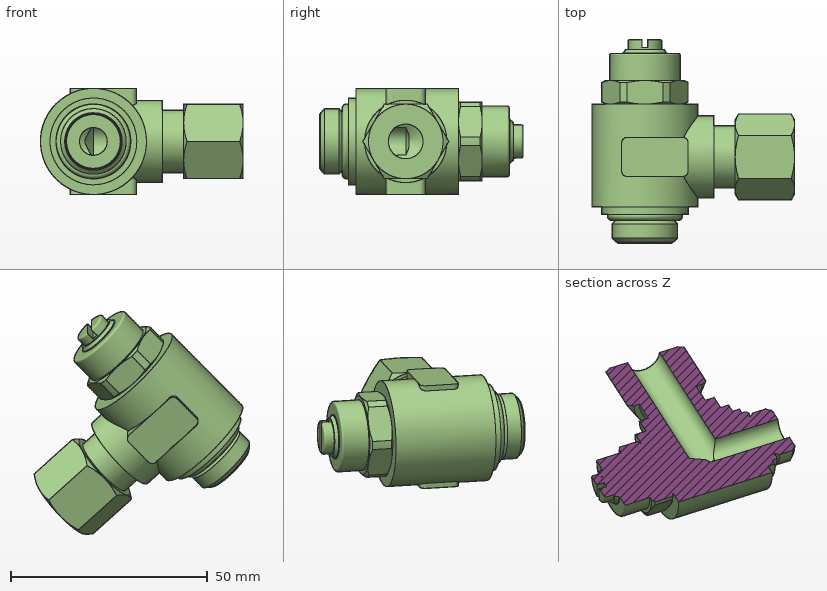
import cadquery as cq
import math


overall_width = 51.55
overall_length = 51.8

body_diameter = 27.0
body_radius = body_diameter / 2
body_front = -12.7
body_back = 13.4

pad_left = -5.9
pad_right = 11.0
pad_width = 9.95
pad_corner = 1.4

collar_radius = 11.05
collar_front = -14.6
ring_radius = 8.45
ring_tube = 1.1
ring_place = -15.1
neck_radius = 7.55
stem_radius = 8.35
stem_tip = -21.95
stem_back = -16.2
stem_back_chamfer = stem_radius - neck_radius
stem_front_chamfer = 1.05
tip_radius = 7.05
tip_length = 0.3
tip_chamfer = 0.2

head_flats = 20.0
head_corner_radius = 11.0
head_back = 19.45
head_chamfer = 0.5
cap_radius = 9.0
cap_back = 26.3
cap_edge = 0.5
seat_rim_radius = 5.65
seat_rim_height = 0.15
seat_base_radius = 5.5
seat_top_radius = 4.85
seat_back = 27.35
screw_radius = 4.3
screw_back = stem_tip + overall_length
screw_edge = 0.5
slot_width = 1.4
slot_depth = 2.0

port_radius = 10.45
port_end = 17.5
tube_radius = 8.0
nut_flats = 18.95
nut_start = 22.95
nut_end = overall_width - body_radius
nut_chamfer_angle = 30

bolt_bore_radius = 3.5
port_bore_radius = 4.4
drill_point_angle = 118


def along_y(profile):
    """Revolve a profile of (radius, y) points about the Y axis."""
    return cq.Workplane("XY").polyline(profile).close().revolve(360, (0, 0, 0), (0, 1, 0))


def along_x(profile):
    """Revolve a profile of (x, radius) points about the X axis."""
    return cq.Workplane("XY").polyline(profile).close().revolve(360, (0, 0, 0), (1, 0, 0))


def rod_y(radius, start, end):
    """Solid cylinder on the Y axis."""
    return along_y([(0, start), (radius, start), (radius, end), (0, end)])


def rod_x(radius, start, end):
    """Solid cylinder on the X axis."""
    return along_x([(start, 0), (start, radius), (end, radius), (end, 0)])


def hexagon_diameter(flats):
    """Distance across the corners of a hexagon."""
    return flats / math.cos(math.radians(30))


def make_pads():
    """One block through the body; its ends stand out as the two flat pads."""
    return (
        cq.Workplane("XY")
        .box(pad_right - pad_left, pad_width, 2 * body_radius)
        .edges("|Z")
        .fillet(pad_corner)
        .translate(((pad_left + pad_right) / 2, 0, 0))
    )


def make_stem():
    """Collar, O-ring and stem with a short stepped tip."""
    tip_base = stem_tip + tip_length
    stem = along_y([
        (0, stem_tip),
        (tip_radius - tip_chamfer, stem_tip),
        (tip_radius, stem_tip + tip_chamfer),
        (tip_radius, tip_base),
        (stem_radius - stem_front_chamfer, tip_base),
        (stem_radius, tip_base + stem_front_chamfer),
        (stem_radius, stem_back - stem_back_chamfer),
        (neck_radius, stem_back),
        (neck_radius, collar_front),
        (0, collar_front),
    ])
    ring = (
        cq.Workplane("XY")
        .center(ring_radius, ring_place)
        .circle(ring_tube)
        .revolve(360, (-ring_radius, 0, 0), (-ring_radius, 1, 0))
    )
    collar = rod_y(collar_radius, collar_front, body_front)
    return collar.union(ring).union(stem)


def make_bolt_head():
    """Hexagon with its corners turned off and both ends chamfered."""
    hexagon = (
        cq.Workplane("XZ", origin=(0, body_back, 0))
        .polygon(6, hexagon_diameter(head_flats))
        .extrude(body_back - head_back)
    )
    face_radius = head_flats / 2
    envelope = along_y([
        (0, body_back),
        (face_radius, body_back),
        (head_corner_radius, body_back + head_chamfer),
        (head_corner_radius, head_back - head_chamfer),
        (face_radius, head_back),
        (0, head_back),
    ])
    return hexagon.intersect(envelope)


def make_cap_and_screw():
    """Cap, tapered seat and slotted adjusting screw."""
    cap = rod_y(cap_radius, head_back, cap_back).faces(">Y").edges().fillet(cap_edge)
    seat = along_y([
        (0, cap_back),
        (seat_rim_radius, cap_back),
        (seat_rim_radius, cap_back + seat_rim_height),
        (seat_base_radius, cap_back + seat_rim_height),
        (seat_top_radius, seat_back),
        (0, seat_back),
    ])
    screw = rod_y(screw_radius, seat_back, screw_back).faces(">Y").edges().fillet(screw_edge)
    slot = (
        cq.Workplane("XY")
        .box(slot_width, slot_depth, 2 * screw_radius)
        .translate((0, screw_back - slot_depth / 2, 0))
    )
    return cap.union(seat).union(screw.cut(slot))


def make_nut():
    """Union nut with both ends chamfered down to the flats."""
    hexagon = (
        cq.Workplane("YZ", origin=(nut_start, 0, 0))
        .polygon(6, hexagon_diameter(nut_flats))
        .extrude(nut_end - nut_start)
    )
    face_radius = nut_flats / 2
    corner_radius = hexagon_diameter(nut_flats) / 2
    chamfer = (corner_radius - face_radius) * math.tan(math.radians(nut_chamfer_angle))
    envelope = along_x([
        (nut_start, 0),
        (nut_start, face_radius),
        (nut_start + chamfer, corner_radius),
        (nut_end - chamfer, corner_radius),
        (nut_end, face_radius),
        (nut_end, 0),
    ])
    return hexagon.intersect(envelope)


def make_passages():
    """Two blind holes with drill points that meet at the origin."""
    point_slope = math.tan(math.radians(drill_point_angle / 2))
    bolt_bore = along_y([
        (0, stem_tip),
        (bolt_bore_radius, stem_tip),
        (bolt_bore_radius, 0),
        (0, bolt_bore_radius / point_slope),
    ])
    port_bore = along_x([
        (nut_end, 0),
        (nut_end, port_bore_radius),
        (0, port_bore_radius),
        (-port_bore_radius / point_slope, 0),
    ])
    return bolt_bore.union(port_bore)


result = (
    rod_y(body_radius, body_front, body_back)
    .union(make_pads())
    .union(rod_x(port_radius, 0, port_end))
    .union(rod_x(tube_radius, port_end, nut_start))
    .union(make_nut())
    .union(make_stem())
    .union(make_bolt_head())
    .union(make_cap_and_screw())
    .cut(make_passages())
)